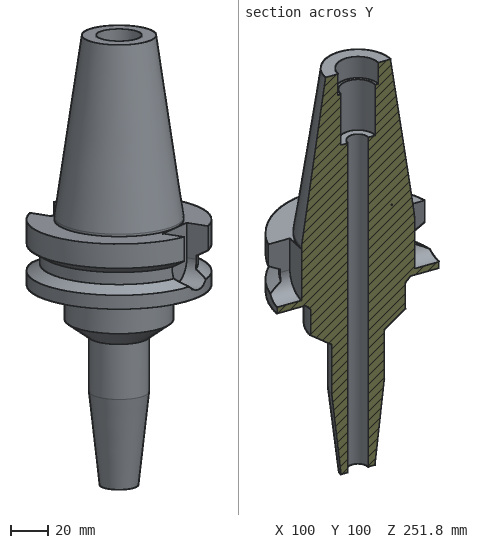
import cadquery as cq

total_height = 251.8
gauge_z = 150.0
flange_top_z = 148.5
flange_bottom_z = 112.0

taper_small_radius = 20.1
taper_large_radius = 35.0

flange_radius = 49.98
groove_radius = 42.8
upper_rim_bottom_z = 135.0
groove_top_z = 130.7
groove_bottom_z = 124.0
lower_rim_top_z = 119.9

collar_radius = 32.5
boss_radius = 29.5
boss_top_z = 109.0
boss_bottom_z = 92.7
neck_radius = 16.4
neck_top_z = 83.0
nose_top_z = 52.5
nose_tip_radius = 10.5

slot_width = 25.5
slot_floor_x = 35.0
slot_bottom_z = 116.3

mouth_radius = 12.3
mouth_depth = 13.3
middle_radius = 10.5
middle_depth = 45.0
through_radius = 6.3


def make_body():
    """Revolve the outer half-profile about the Z axis."""
    profile = [
        (0, 0),
        (nose_tip_radius, 0),
        (neck_radius, nose_top_z),
        (neck_radius, neck_top_z),
        (boss_radius, boss_bottom_z),
        (boss_radius, boss_top_z),
        (collar_radius, flange_bottom_z),
        (flange_radius, flange_bottom_z),
        (flange_radius, lower_rim_top_z),
        (groove_radius, groove_bottom_z),
        (groove_radius, groove_top_z),
        (flange_radius, upper_rim_bottom_z),
        (flange_radius, flange_top_z),
        (taper_large_radius, flange_top_z),
        (taper_large_radius, gauge_z),
        (taper_small_radius, total_height),
        (0, total_height),
    ]
    return cq.Workplane("XZ").polyline(profile).close().revolve(360, (0, 0), (0, 1))


def make_drive_slot(side):
    """Round-bottomed slot cutter; side is +1 for +X and -1 for -X."""
    half_width = slot_width / 2
    arc_start_z = slot_bottom_z + half_width
    return (
        cq.Workplane("YZ", origin=(side * slot_floor_x, 0, 0))
        .moveTo(-half_width, flange_top_z)
        .lineTo(-half_width, arc_start_z)
        .threePointArc((0, slot_bottom_z), (half_width, arc_start_z))
        .lineTo(half_width, flange_top_z)
        .close()
        .extrude(side * flange_radius)
    )


def make_bore(radius, depth):
    """Cylindrical cutter going down from the top face."""
    return cq.Workplane("XY", origin=(0, 0, total_height)).circle(radius).extrude(-depth)


result = make_body()
for side in (-1, 1):
    result = result.cut(make_drive_slot(side))

bore_steps = [
    (mouth_radius, mouth_depth),
    (middle_radius, middle_depth),
    (through_radius, total_height),
]
for radius, depth in bore_steps:
    result = result.cut(make_bore(radius, depth))